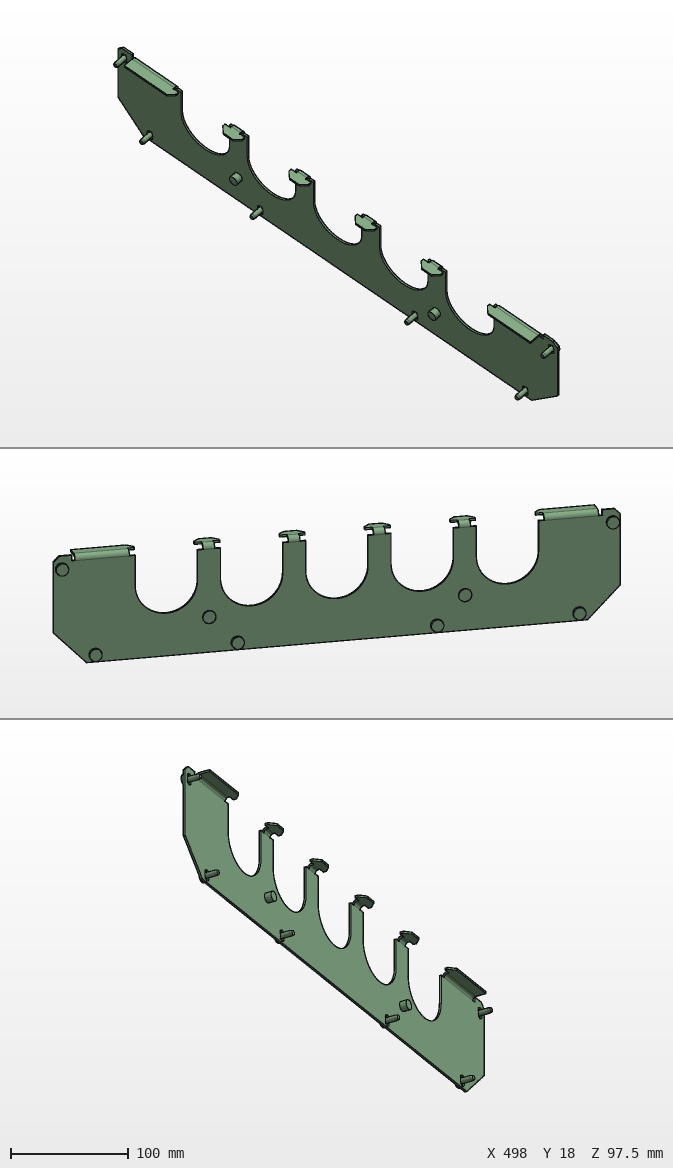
import cadquery as cq
import math

LENGTH = 498.0
HEIGHT = 97.5
SHEET = 2.0
TOP_CHAMFER = 5.0
BOTTOM_CHAMFER = 29.0
HALF_LENGTH = LENGTH / 2
TOP_Z = HEIGHT / 2
BOTTOM_Z = -HEIGHT / 2

CUTOUT_COUNT = 5
END_PANEL_WIDTH = 71.5
CUTOUT_WIDTH = 55.0
CUTOUT_BOTTOM_Z = -10.5
OUTER_CUTOUT_EDGE = HALF_LENGTH - END_PANEL_WIDTH
CUTOUT_PITCH = (2 * OUTER_CUTOUT_EDGE - CUTOUT_WIDTH) / (CUTOUT_COUNT - 1)
TAB_WIDTH = CUTOUT_PITCH - CUTOUT_WIDTH
TAB_CENTRES = [(i - CUTOUT_COUNT / 2) * CUTOUT_PITCH for i in range(1, CUTOUT_COUNT)]

BEND_RADIUS = 5.0
LIP_DEPTH = 15.0
LIP_SHOULDER = 6.5
LIP_OVERHANG = 1.0
LIP_CHAMFER = 5.5
NECK_INSET = 5.0
END_LIP_OUTER_X = 230.0
RELIEF = 3.0
SHOULDER_Z = TOP_Z - BEND_RADIUS

SLOT_WIDTH = 6.0
SLOT_HEIGHT = 10.5
HEAD_DIAMETER = 11.0
HEAD_THICKNESS = 3.0
SHANK_DIAMETER = 5.0
SHANK_LENGTH = 13.0
TIP_CHAMFER_LENGTH = 2.0
TIP_CHAMFER_DEPTH = 0.5
TOP_SCREW_X = 242.0
TOP_SCREW_Z = 37.5
BOTTOM_SCREW_Z = -42.0
BOTTOM_SCREW_X = (212.5, 87.5)
SCREW_PLACES = [(side * TOP_SCREW_X, TOP_SCREW_Z) for side in (-1, 1)]
SCREW_PLACES += [(side * x, BOTTOM_SCREW_Z) for x in BOTTOM_SCREW_X for side in (-1, 1)]

STANDOFF_X = TAB_CENTRES[-1]
STANDOFF_Z = -17.0
STANDOFF_DIAMETER = 9.0
STANDOFF_LENGTH = 8.5
FLANGE_DIAMETER = 11.5
FLANGE_THICKNESS = 1.5
STANDOFF_PLACES = [(side * STANDOFF_X, STANDOFF_Z) for side in (-1, 1)]


def front_plane(y=0.0):
    """XZ sketch plane at the given Y; extruding goes towards -Y."""
    return cq.Workplane("XZ", origin=(0, y, 0))


def box(x_min, x_max, y_min, y_max, z_min, z_max):
    size = (x_max - x_min, y_max - y_min, z_max - z_min)
    return cq.Workplane("XY", origin=(x_min, y_min, z_min)).box(*size, centered=False)


def make_blank():
    """Flat sheet with chamfered corners; the middle of its top edge is lowered for the lips."""
    relief_x = END_LIP_OUTER_X + RELIEF
    half = [
        (relief_x, SHOULDER_Z),
        (relief_x, TOP_Z),
        (HALF_LENGTH - TOP_CHAMFER, TOP_Z),
        (HALF_LENGTH, TOP_Z - TOP_CHAMFER),
        (HALF_LENGTH, BOTTOM_Z + BOTTOM_CHAMFER),
        (HALF_LENGTH - BOTTOM_CHAMFER, BOTTOM_Z),
    ]
    mirrored = [(-x, z) for x, z in reversed(half)]
    return front_plane().polyline(half + mirrored).close().extrude(SHEET)


def make_cutouts():
    radius = CUTOUT_WIDTH / 2
    centre_z = CUTOUT_BOTTOM_Z + radius
    cutouts = cq.Workplane("XZ")
    for i in range(CUTOUT_COUNT):
        x = (i - (CUTOUT_COUNT - 1) / 2) * CUTOUT_PITCH
        cutout = (
            front_plane()
            .moveTo(x - radius, TOP_Z)
            .lineTo(x - radius, centre_z)
            .threePointArc((x, CUTOUT_BOTTOM_Z), (x + radius, centre_z))
            .lineTo(x + radius, TOP_Z)
            .close()
            .extrude(SHEET)
        )
        cutouts = cutouts.add(cutout)
    return cutouts.combine()


def make_bent_strip(x_min, x_max):
    """Strip that rises from the shoulder, bends forward and runs out to the lip's front edge."""
    inner_radius = BEND_RADIUS - SHEET
    diagonal = math.sqrt(0.5)
    outer_mid = (-BEND_RADIUS * (1 - diagonal), SHOULDER_Z + BEND_RADIUS * diagonal)
    inner_mid = (-BEND_RADIUS + inner_radius * diagonal, SHOULDER_Z + inner_radius * diagonal)
    return (
        cq.Workplane("YZ", origin=(x_min, 0, 0))
        .moveTo(0, SHOULDER_Z)
        .threePointArc(outer_mid, (-BEND_RADIUS, TOP_Z))
        .lineTo(-LIP_DEPTH, TOP_Z)
        .lineTo(-LIP_DEPTH, TOP_Z - SHEET)
        .lineTo(-BEND_RADIUS, TOP_Z - SHEET)
        .threePointArc(inner_mid, (-SHEET, SHOULDER_Z))
        .close()
        .extrude(x_max - x_min)
    )


def make_tab_lip(x):
    half_neck = TAB_WIDTH / 2 - NECK_INSET
    half_lip = TAB_WIDTH / 2 + LIP_OVERHANG
    lip = box(x - half_lip, x + half_lip, -LIP_DEPTH, -LIP_SHOULDER, TOP_Z - SHEET, TOP_Z)
    lip = lip.edges("|Z and <Y").chamfer(LIP_CHAMFER)
    return make_bent_strip(x - half_neck, x + half_neck).union(lip)


def make_left_end_lip():
    """Long lip whose outer side is straight and whose inner side widens past the neck."""
    neck_x = -OUTER_CUTOUT_EDGE - NECK_INSET
    tip_x = -OUTER_CUTOUT_EDGE + LIP_OVERHANG
    lip = box(-END_LIP_OUTER_X, tip_x, -LIP_DEPTH, -LIP_SHOULDER, TOP_Z - SHEET, TOP_Z)
    lip = lip.edges("|Z and <Y and >X").chamfer(LIP_CHAMFER)
    return make_bent_strip(-END_LIP_OUTER_X, neck_x).union(lip)


def make_plate():
    plate = make_blank().cut(make_cutouts())
    for x in TAB_CENTRES:
        plate = plate.union(make_tab_lip(x))
    left_lip = make_left_end_lip()
    plate = plate.union(left_lip).union(left_lip.mirror("YZ"))
    slots = front_plane().pushPoints(SCREW_PLACES).slot2D(SLOT_HEIGHT, SLOT_WIDTH, 90).extrude(SHEET)
    standoff_holes = front_plane().pushPoints(STANDOFF_PLACES)
    standoff_holes = standoff_holes.circle(STANDOFF_DIAMETER / 2).extrude(SHEET)
    return plate.cut(slots).cut(standoff_holes)


def make_screw(x, z):
    """Screw turned about its own axis: head against the back of the plate, shank with a tapered tip."""
    shank_radius = SHANK_DIAMETER / 2
    head_radius = HEAD_DIAMETER / 2
    profile = [
        (0, HEAD_THICKNESS),
        (head_radius, HEAD_THICKNESS),
        (head_radius, 0),
        (shank_radius, 0),
        (shank_radius, -SHANK_LENGTH + TIP_CHAMFER_LENGTH),
        (shank_radius - TIP_CHAMFER_DEPTH, -SHANK_LENGTH),
        (0, -SHANK_LENGTH),
    ]
    outline = cq.Workplane("XY", origin=(x, 0, z)).polyline(profile).close()
    return outline.revolve(360, (0, 0, 0), (0, 1, 0))


def make_standoff(x, z):
    """Round body through the plate, with a round flange against the back."""
    body = front_plane().center(x, z).circle(STANDOFF_DIAMETER / 2)
    body = body.extrude(STANDOFF_LENGTH)
    flange = front_plane(FLANGE_THICKNESS).center(x, z).circle(FLANGE_DIAMETER / 2)
    return flange.extrude(FLANGE_THICKNESS).union(body)


plate = make_plate()
screws = [make_screw(x, z) for x, z in SCREW_PLACES]
standoffs = [make_standoff(x, z) for x, z in STANDOFF_PLACES]

result = cq.Compound.makeCompound(
    [plate.val()] + [screw.val() for screw in screws] + [standoff.val() for standoff in standoffs]
)